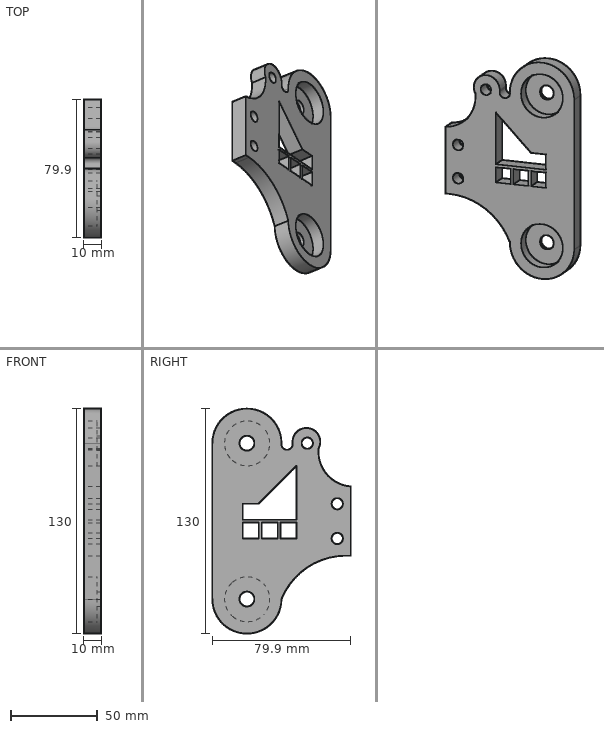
import cadquery as cq
import math

thickness = 10.0
height = 130.0
lobe_radius = 20.0
lobe_z = height / 2 - lobe_radius
tab_edge_y = 59.9
tab_half_height = 20.0

seat_diameter = 26.0
seat_depth = 7.5
seat_bore_diameter = 8.5

ear_y = 34.3
ear_z = 45.8
ear_radius = 8.0
notch_bottom_z = 41.2

upper_scallop_y = 61.4
upper_scallop_z = 40.0
upper_scallop_radius = 20.0
lower_scallop_radius = 40.0

mount_diameter = 6.4
tab_hole_y = 52.1
tab_hole_z = 10.0
ear_hole_y = 34.8

square_size = 9.1
square_wall = 1.8
square_count = 3
window_left_y = 28.6
square_pitch = square_size + square_wall
window_width = square_count * square_size + (square_count - 1) * square_wall


def circle_point(center_y, center_z, radius, degrees):
    """Point on a circle in the YZ plane, measured from +Y toward +Z."""
    angle = math.radians(degrees)
    return (center_y + radius * math.cos(angle), center_z + radius * math.sin(angle))


def circle_crossing(first_y, first_z, first_radius, second_y, second_z, second_radius):
    """Crossing of two circles that lies on the left going from first to second."""
    dy = second_y - first_y
    dz = second_z - first_z
    distance = math.hypot(dy, dz)
    along = (distance**2 + first_radius**2 - second_radius**2) / (2 * distance)
    across = math.sqrt(first_radius**2 - along**2)
    return (
        first_y + (along * dy - across * dz) / distance,
        first_z + (along * dz + across * dy) / distance,
    )


def make_plate():
    tab_drop = math.sqrt(upper_scallop_radius**2 - (upper_scallop_y - tab_edge_y) ** 2)
    tab_top = (tab_edge_y, upper_scallop_z - tab_drop)
    ear_root = circle_crossing(
        upper_scallop_y, upper_scallop_z, upper_scallop_radius, ear_y, ear_z, ear_radius
    )
    scallop_mid = circle_point(upper_scallop_y, upper_scallop_z, upper_scallop_radius, 225)

    ear_inner = (ear_y - ear_radius, lobe_z)
    notch_bottom = ((ear_inner[0] + lobe_radius) / 2, notch_bottom_z)

    lower_center_z = -tab_half_height - lower_scallop_radius
    lower_rise = -lobe_z - lower_center_z
    lower_center_y = lobe_radius + math.sqrt(lower_scallop_radius**2 - lower_rise**2)
    lower_mid = circle_point(lower_center_y, lower_center_z, lower_scallop_radius, 125)

    return (
        cq.Workplane("YZ")
        .moveTo(-lobe_radius, -lobe_z)
        .lineTo(-lobe_radius, lobe_z)
        .threePointArc((0, height / 2), (lobe_radius, lobe_z))
        .threePointArc(notch_bottom, ear_inner)
        .lineTo(ear_y - ear_radius, ear_z)
        .threePointArc((ear_y, ear_z + ear_radius), ear_root)
        .threePointArc(scallop_mid, tab_top)
        .lineTo(tab_edge_y, -tab_half_height)
        .lineTo(lower_center_y, -tab_half_height)
        .threePointArc(lower_mid, (lobe_radius, -lobe_z))
        .threePointArc((0, -height / 2), (-lobe_radius, -lobe_z))
        .close()
        .extrude(thickness)
    )


def round_cut(centers, diameter, depth):
    """Cylinders entering from the -X face."""
    return cq.Workplane("YZ").pushPoints(centers).circle(diameter / 2).extrude(depth)


def make_window():
    """Opening with a 45 degree slope falling to a short upright on the -Y side."""
    sill_z = square_wall / 2
    right_y = window_left_y - window_width
    step_z = sill_z + square_size
    outline = [
        (window_left_y, sill_z),
        (window_left_y, sill_z + window_width),
        (right_y + square_size, step_z),
        (right_y, step_z),
        (right_y, sill_z),
    ]
    return cq.Workplane("YZ").polyline(outline).close().extrude(thickness)


def make_squares():
    center_z = -(square_wall + square_size) / 2
    first_y = window_left_y - square_size / 2
    centers = [(first_y - i * square_pitch, center_z) for i in range(square_count)]
    return cq.Workplane("YZ").pushPoints(centers).rect(square_size, square_size).extrude(thickness)


lobe_centers = [(0, lobe_z), (0, -lobe_z)]
mount_centers = [(tab_hole_y, tab_hole_z), (tab_hole_y, -tab_hole_z), (ear_hole_y, lobe_z)]

result = (
    make_plate()
    .cut(round_cut(lobe_centers, seat_diameter, seat_depth))
    .cut(round_cut(lobe_centers, seat_bore_diameter, thickness))
    .cut(round_cut(mount_centers, mount_diameter, thickness))
    .cut(make_window())
    .cut(make_squares())
)